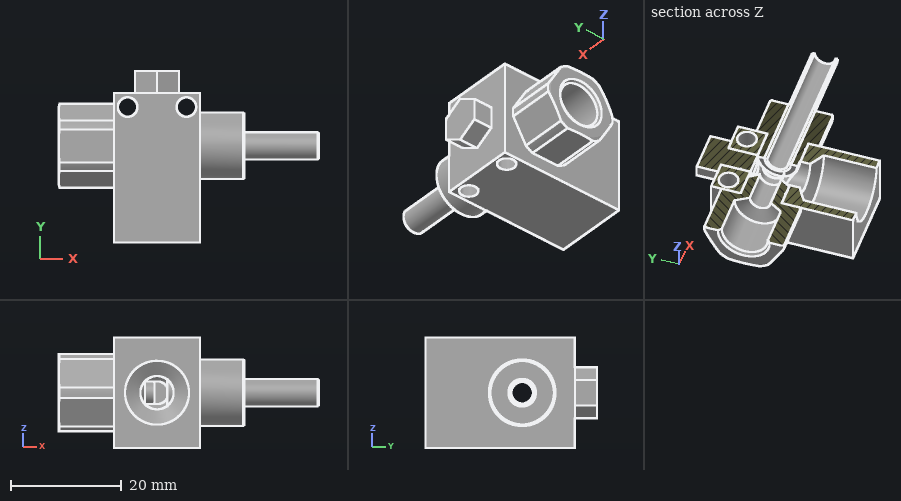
import cadquery as cq
import math


total_length = 47.0
block_width = 15.6
block_height = 20.0
block_front = 17.5
block_back = 9.55
block_right = block_width / 2
block_left = -block_right

bore_radius = 3.85
drill_half_angle = math.radians(59)
port_radius = 5.8
port_depth = 10.0
port_throat_radius = 3.0
mount_hole_diameter = 3.5
mount_hole_spacing = 10.6
mount_hole_y = 7.0

hexagon_length = 9.95
hexagon_flats = 14.0
corner_radius = 7.6
hexagon_bevel_angle = math.radians(15)
socket_radius = 4.35
socket_depth = 8.0
socket_chamfer = 0.55
passage_radius = 1.95
nozzle_tip_radius = 2.05
nozzle_tip_start = -2.15
nozzle_tip_end = -0.45
nozzle_cone_length = 1.2

collar_radius = 6.0
collar_length = 8.05
tube_radius = 2.5
outlet_inner_end = 1.8
edge_chamfer = 0.3
spigot_chamfer = 0.15

plug_flats = 8.0
plug_head_length = 4.0
plug_shank_radius = 2.05

inlet_end = block_left - hexagon_length
collar_end = block_right + collar_length
tube_end = inlet_end + total_length


def drill_tip_length(large_radius, small_radius):
    """Axial length of a drill cone between two radii."""
    return (large_radius - small_radius) / math.tan(drill_half_angle)


def revolve_about_x(profile):
    """Solid of revolution about the flow axis from (x, radius) points."""
    return cq.Workplane("XY").polyline(profile).close().revolve(360, (0, 0, 0), (1, 0, 0))


def revolve_about_y(profile):
    """Solid of revolution about the port axis from (radius, y) points."""
    return cq.Workplane("XY").polyline(profile).close().revolve(360, (0, 0, 0), (0, 1, 0))


def rod_along_x(radius, start, end):
    return cq.Workplane("YZ").workplane(offset=start).circle(radius).extrude(end - start)


def rod_along_y(radius, start, end):
    return cq.Workplane("XZ").workplane(offset=-start).circle(radius).extrude(start - end)


def make_block():
    """Block with the flow bore, the stepped port, the plug hole and two mounting holes."""
    depth = block_front + block_back
    block = cq.Workplane("XY").box(block_width, depth, block_height)
    block = block.translate((0, (block_back - block_front) / 2, 0))

    flow_bore = rod_along_x(bore_radius, block_left, block_right)
    plug_hole = rod_along_y(plug_shank_radius, 0, block_back)
    cone_start = port_depth - block_front
    cone_end = cone_start + drill_tip_length(port_radius, port_throat_radius)
    port = revolve_about_y([
        (0, -block_front),
        (port_radius, -block_front),
        (port_radius, cone_start),
        (port_throat_radius, cone_end),
        (port_throat_radius, 0),
        (0, 0),
    ])
    block = block.cut(flow_bore).cut(port).cut(plug_hole)

    mount_holes = (
        cq.Workplane("XY")
        .workplane(offset=-block_height / 2)
        .pushPoints([(side * mount_hole_spacing / 2, mount_hole_y) for side in (-1, 1)])
        .circle(mount_hole_diameter / 2)
        .extrude(block_height)
    )
    return block.cut(mount_holes)


def make_inlet_fitting():
    """Hexagon with a socket for the supply, and a nozzle reaching along the bore."""
    hexagon = (
        cq.Workplane("YZ")
        .workplane(offset=inlet_end)
        .polygon(6, hexagon_flats / math.cos(math.pi / 6))
        .extrude(hexagon_length)
    )
    flat_radius = hexagon_flats / 2
    bevel_length = (corner_radius - flat_radius) * math.tan(hexagon_bevel_angle)
    envelope = revolve_about_x([
        (inlet_end, 0),
        (inlet_end, flat_radius),
        (inlet_end + bevel_length, corner_radius),
        (block_left, corner_radius),
        (block_left, 0),
    ])
    nozzle = revolve_about_x([
        (block_left, 0),
        (block_left, bore_radius),
        (nozzle_tip_start - nozzle_cone_length, bore_radius),
        (nozzle_tip_start, nozzle_tip_radius),
        (nozzle_tip_end, nozzle_tip_radius),
        (nozzle_tip_end, 0),
    ])
    cone_start = inlet_end + socket_depth
    cone_end = cone_start + drill_tip_length(socket_radius, passage_radius)
    socket = revolve_about_x([
        (inlet_end, 0),
        (inlet_end, socket_radius + socket_chamfer),
        (inlet_end + socket_chamfer, socket_radius),
        (cone_start, socket_radius),
        (cone_end, passage_radius),
        (nozzle_tip_end, passage_radius),
        (nozzle_tip_end, 0),
    ])
    return hexagon.intersect(envelope).union(nozzle).cut(socket)


def make_collar():
    """Sleeve that holds the outlet tube, with a spigot filling the block's bore."""
    head = rod_along_x(collar_radius, block_right, collar_end).faces(">X").chamfer(edge_chamfer)
    spigot = rod_along_x(bore_radius, outlet_inner_end, block_right).faces("<X").chamfer(spigot_chamfer)
    tube_hole = rod_along_x(tube_radius, outlet_inner_end, collar_end)
    return head.union(spigot).cut(tube_hole)


def make_outlet_tube():
    tube = rod_along_x(tube_radius, outlet_inner_end, tube_end).faces(">X").chamfer(edge_chamfer)
    return tube.cut(rod_along_x(passage_radius, outlet_inner_end, tube_end))


def make_plug():
    """Hexagon-headed plug with two corners of the head on the vertical centre line."""
    head = (
        cq.Workplane("XZ")
        .workplane(offset=-block_back)
        .polygon(6, plug_flats / math.cos(math.pi / 6))
        .extrude(-plug_head_length)
        .rotate((0, 0, 0), (0, 1, 0), 90)
    )
    return head.union(rod_along_y(plug_shank_radius, bore_radius, block_back))


block = make_block()
inlet_fitting = make_inlet_fitting()
collar = make_collar()
outlet_tube = make_outlet_tube()
plug = make_plug()

result = cq.Compound.makeCompound([
    block.val(),
    inlet_fitting.val(),
    collar.val(),
    outlet_tube.val(),
    plug.val(),
])